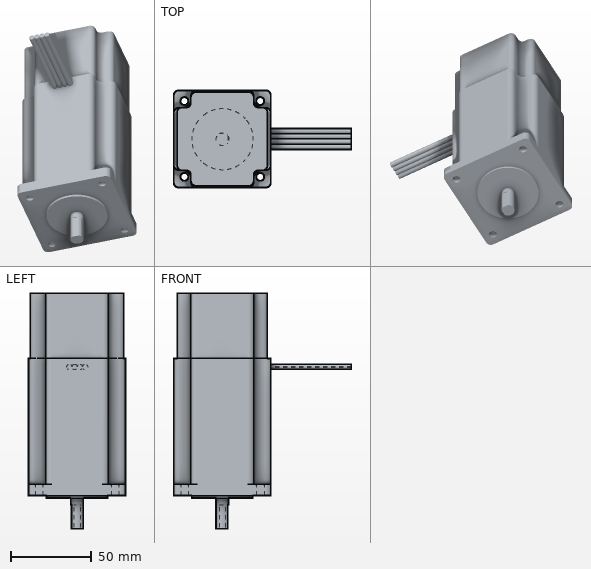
import cadquery as cq

plate_size = 60.5
plate_thickness = 7.0
plate_corner_radius = 3.2
hole_spacing = 47.14
hole_diameter = 4.8

motor_height = 126.0
cover_height = 40.6
body_top = motor_height - cover_height
cover_width_x = 56.2
cover_width_y = 58.2
notch_wall = 19.5
body_outer_radius = 3.5
body_inner_radius = 5.0
cover_outer_radius = 3.0
cover_inner_radius = 3.0
selection_margin = 0.1

pilot_diameter = 38.1
pilot_height = 1.5
shaft_diameter = 8.0
shaft_length = 20.6
flat_depth = 0.5
flat_length = 15.0

wire_count = 4
wire_diameter = 3.3
wire_pitch = 3.28
wire_height = 80.2
wire_end_x = 80.25
wire_embedment = 1.0


def notched_block(width_x, width_y, bottom, top, outer_radius, inner_radius):
    """Upright block with a square notch at each corner and rounded vertical edges."""
    height = top - bottom
    base = cq.Workplane("XY").workplane(offset=bottom)
    bar_x = base.rect(width_x, 2 * notch_wall).extrude(height)
    bar_x = bar_x.edges("|Z").fillet(outer_radius)
    bar_y = base.rect(2 * notch_wall, width_y).extrude(height)
    bar_y = bar_y.edges("|Z").fillet(outer_radius)
    notched = bar_x.union(bar_y)
    reach = notch_wall + selection_margin
    inner_edges = cq.selectors.BoxSelector(
        (-reach, -reach, bottom),
        (reach, reach, top),
    )
    return notched.edges("|Z").edges(inner_edges).fillet(inner_radius)


def mounting_plate():
    plate = cq.Workplane("XY").rect(plate_size, plate_size).extrude(plate_thickness)
    plate = plate.edges("|Z").fillet(plate_corner_radius)
    holes = (
        cq.Workplane("XY")
        .rect(hole_spacing, hole_spacing, forConstruction=True)
        .vertices()
        .circle(hole_diameter / 2)
        .extrude(plate_thickness)
    )
    return plate.cut(holes)


def output_shaft():
    """Shaft with two flats at right angles, facing +X and +Y, along its free end."""
    radius = shaft_diameter / 2
    shaft = cq.Workplane("XY").circle(radius).extrude(-shaft_length)
    kept_size = shaft_diameter - flat_depth
    end = cq.Workplane("XY").workplane(offset=-shaft_length)
    outside = end.rect(2 * shaft_diameter, 2 * shaft_diameter).extrude(flat_length)
    kept = end.center(-flat_depth / 2, -flat_depth / 2).rect(kept_size, kept_size).extrude(flat_length)
    return shaft.cut(outside.cut(kept))


def lead_wires():
    start_x = plate_size / 2 - wire_embedment
    first_y = -wire_pitch * (wire_count - 1) / 2
    length = wire_end_x - start_x
    side = cq.Workplane("YZ").workplane(offset=start_x)
    wires = None
    for i in range(wire_count):
        wire = side.center(first_y + i * wire_pitch, wire_height).circle(wire_diameter / 2).extrude(length)
        wires = wire if wires is None else wires.union(wire)
    return wires


body = notched_block(
    plate_size, plate_size, plate_thickness, body_top, body_outer_radius, body_inner_radius
)
cover = notched_block(
    cover_width_x, cover_width_y, body_top, motor_height, cover_outer_radius, cover_inner_radius
)
pilot = cq.Workplane("XY").circle(pilot_diameter / 2).extrude(-pilot_height)

result = mounting_plate().union(body).union(cover).union(pilot).union(output_shaft()).union(lead_wires())